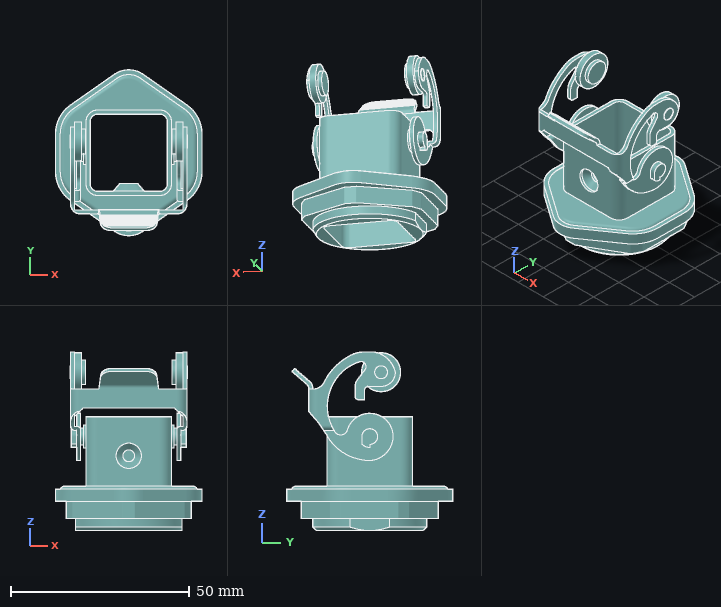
import cadquery as cq
import math


nut_bottom = 3.35
flange_bottom = 8.2
flange_top = 11.65
plateau_top = 12.5
tower_top = 32.0

foot_radius = 16.0
foot_width = 30.0
foot_chamfer = 1.0
nut_across_flats = 35.1
nut_across_clips = 38.5
nut_edge_radius = 0.4

flange_width = 41.2
flange_length = 46.62
flange_slope = 35.0
flange_apex_radius = 7.0
flange_side_radius = 10.0
plateau_inset = 1.25
plateau_round = 1.4

tower_width = 24.0
tower_corner_radius = 3.3
wall = 1.2
bore_width = tower_width - 2 * wall
bore_corner_radius = tower_corner_radius - wall

hole_z = 21.0
countersink_radius = 3.55
countersink_rim_depth = 0.8
hole_radius = 1.65
cone_boss_root_radius = 4.42
cone_boss_tip_radius = 2.5
cone_boss_height = 2.23

sheet = 1.15
lever_half_width = 16.35
joggle = 1.7
joggle_z = 28.1
lever_front_y = -17.17
lever_corner_radius = 2.75
lever_plate_bottom = 34.4
lever_plate_top = 39.8
lever_notch_half_width = 12.8
arm_top = 50.16
crank_y = -9.4
crank_round = 1.3
lower_plate_round = 1.0
plate_split_z = 34.0
lower_outer_x = lever_half_width - joggle
lower_inner_x = lower_outer_x - sheet
strap_inner_x = lever_half_width - sheet

pivot = (0.0, 26.4)
pivot_disc_radius = 6.55
eye = (3.18, 44.45)
eye_radius = 4.0

pivot_collar_radius = 3.27
pivot_collar_x = 12.7
pivot_neck_radius = 2.4
pin_radius = 2.2
pin_key_radius = 3.05
pin_end_x = 16.2

roller_radius = 5.5
roller_inner_x = 13.25
hub_radius = 3.48
hub_inner_x = 12.1
rivet_radius = 1.8
rivet_end_x = 16.5

tab_root_half_width = 8.45
tab_tip_half_width = 7.6
tab_thickness = 1.2
tab_slope = 41.0
tab_bend_radius = 1.3
tab_bend_z = 40.0
tab_length = 5.6
tab_corner_radius = 3.0
groove_count = 5
groove_pitch = 0.9
first_groove = 1.1
groove_width = 0.4
groove_depth = 0.12

overlap = 0.2


def box(x0, x1, y0, y1, z0, z1):
    return cq.Workplane("XY").box(x1 - x0, y1 - y0, z1 - z0, centered=False).translate((x0, y0, z0))


def x_cylinder(centre, radius, x0, x1):
    """Cylinder along X between x0 and x1, centred on a (Y, Z) point."""
    return cq.Workplane("YZ").workplane(offset=x0).center(*centre).circle(radius).extrude(x1 - x0)


def both_sides(body):
    return body.union(body.mirror("YZ"))


def foot():
    body = cq.Workplane("XY").circle(foot_radius).extrude(nut_bottom).faces("<Z").chamfer(foot_chamfer)
    return body.intersect(
        box(-foot_width / 2, foot_width / 2, -foot_radius, foot_radius, 0, nut_bottom)
    )


def hexagon(across_flats, z0, z1):
    across_corners = across_flats / math.cos(math.radians(30))
    return cq.Workplane("XY").workplane(offset=z0).polygon(6, across_corners).extrude(z1 - z0)


def nut():
    flats = hexagon(nut_across_flats, nut_bottom, flange_bottom).rotate((0, 0, 0), (0, 0, 1), 30)
    clipped = flats.intersect(hexagon(nut_across_clips, nut_bottom, flange_bottom))
    return clipped.edges("|Z").fillet(nut_edge_radius)


def flange_outline(inset, z0, z1):
    """Long rounded hexagon with vertical sides and a rounded apex at each Y end."""
    slope = math.radians(flange_slope)
    apex_radius = flange_apex_radius - inset
    side_radius = flange_side_radius - inset
    half_width = flange_width / 2 - inset
    apex_centre_y = flange_length / 2 - flange_apex_radius
    apex_y = apex_centre_y + apex_radius / math.cos(slope)
    corner_y = apex_y - half_width * math.tan(slope)
    body = (
        cq.Workplane("XY")
        .workplane(offset=z0)
        .polyline([
            (half_width, -corner_y),
            (half_width, corner_y),
            (0, apex_y),
            (-half_width, corner_y),
            (-half_width, -corner_y),
            (0, -apex_y),
        ])
        .close()
        .extrude(z1 - z0)
    )
    body = body.edges("|Z and (>Y or <Y)").fillet(apex_radius)
    return body.edges("|Z and (>X or <X)").fillet(side_radius)


def flange():
    base = flange_outline(0, flange_bottom, flange_top)
    plateau = flange_outline(plateau_inset, flange_bottom, plateau_top)
    return base.union(plateau.faces(">Z").edges().fillet(plateau_round))


def square_prism(width, corner_radius, z0, z1):
    prism = cq.Workplane("XY").workplane(offset=z0).rect(width, width).extrude(z1 - z0)
    return prism.edges("|Z").fillet(corner_radius)


def y_cone(y0, y1, radius0, radius1):
    """Cone along +Y at the hole height, from radius0 at y0 to radius1 at y1."""
    height = y1 - y0
    cone = cq.Solid.makeCone(radius0, radius1, height, cq.Vector(0, y0, hole_z), cq.Vector(0, 1, 0))
    return cq.Workplane(cone)


def y_cylinder(y0, y1, radius):
    """Cylinder along +Y at the hole height, between y0 and y1."""
    cylinder = cq.Solid.makeCylinder(radius, y1 - y0, cq.Vector(0, y0, hole_z), cq.Vector(0, 1, 0))
    return cq.Workplane(cylinder)


def housing():
    tower = square_prism(tower_width, tower_corner_radius, flange_top, tower_top)
    body = foot().union(nut()).union(flange()).union(tower)
    body = body.cut(square_prism(bore_width, bore_corner_radius, 0, tower_top))

    tower_face_y = -tower_width / 2
    bore_face_y = -bore_width / 2
    tip_y = bore_face_y + cone_boss_height
    body = body.union(y_cone(bore_face_y, tip_y, cone_boss_root_radius, cone_boss_tip_radius))

    cone_start_y = tower_face_y + countersink_rim_depth
    cone_end_y = cone_start_y + countersink_radius - hole_radius
    body = body.cut(y_cylinder(tower_face_y, cone_start_y, countersink_radius))
    body = body.cut(y_cone(cone_start_y, cone_end_y, countersink_radius, hole_radius))
    return body.cut(y_cylinder(tower_face_y, tip_y, hole_radius))


def lever_silhouette():
    """Side outline of the lever in (Y, Z), extruded across the whole width."""
    pivot_y, pivot_z = pivot
    eye_y, eye_z = eye
    notch_angle = math.radians(162)
    notch_end = (
        pivot_y + pivot_disc_radius * math.cos(notch_angle),
        pivot_z + pivot_disc_radius * math.sin(notch_angle),
    )
    eye_bottom_z = eye_z - eye_radius
    eye_diagonal = eye_radius * math.cos(math.pi / 4)
    return (
        cq.Workplane("YZ")
        .workplane(offset=-lever_half_width)
        .moveTo(eye_y + eye_radius, eye_z)
        .threePointArc((5.04, 48.2), (-1.5, arm_top))
        .threePointArc((-4.0, 49.8), (-6.2, 48.75))
        .threePointArc((-9.6, 46.15), (-12.55, 42.25))
        .threePointArc((-13.7, 40.55), (-15.3, lever_plate_top))
        .lineTo(lever_front_y, lever_plate_top)
        .lineTo(lever_front_y, 33.5)
        .lineTo(-14.43, 30.3)
        .lineTo(-12.1, 26.85)
        .threePointArc((-7.5, 21.9), (-1.64, 19.78))
        .threePointArc((4.3, 21.45), (pivot_y + pivot_disc_radius, pivot_z))
        .threePointArc((pivot_y, pivot_z + pivot_disc_radius), notch_end)
        .threePointArc((-8.0, 26.85), (-9.96, 28.04))
        .threePointArc((-11.87, 35.2), (-9.6, 42.3))
        .threePointArc((-6.2, 45.75), (-2.5, 47.45))
        .threePointArc((-1.15, 46.5), (-1.5, 44.95))
        .lineTo(-3.3, 42.6)
        .threePointArc((-3.95, 41.5), (-4.12, 40.4))
        .lineTo(-4.12, 37.65)
        .threePointArc((-3.84, 36.98), (-3.17, 36.7))
        .lineTo(-1.47, 36.7)
        .lineTo(-1.47, 39.4)
        .threePointArc((-1.2, 40.05), (-0.5, eye_bottom_z))
        .lineTo(eye_y, eye_bottom_z)
        .threePointArc((eye_y + eye_diagonal, eye_z - eye_diagonal), (eye_y + eye_radius, eye_z))
        .close()
        .extrude(2 * lever_half_width)
    )


def lever_sheet():
    """Folded sheet before it is cut to the side outline."""
    back_y = eye[0] + 2 * eye_radius
    inside_y = lever_front_y + sheet
    outer = box(-lever_half_width, lever_half_width, lever_front_y, back_y, joggle_z, arm_top)
    outer = outer.edges("|Z and <Y").fillet(lever_corner_radius)
    outer = outer.edges("|Y and <Z").fillet(crank_round)
    inner = box(-strap_inner_x, strap_inner_x, inside_y, back_y, joggle_z + sheet, arm_top)
    upper = outer.cut(inner)
    between = box(-lower_outer_x, lower_outer_x, inside_y, back_y, joggle_z, plate_split_z)
    behind = box(-lever_half_width, lever_half_width, crank_y, back_y, joggle_z, plate_split_z)
    upper = upper.cut(between).cut(behind)
    shoulder = strap_inner_x - lever_notch_half_width
    opening = (
        cq.Workplane("XZ")
        .polyline([
            (-strap_inner_x, joggle_z + sheet),
            (-strap_inner_x, lever_plate_bottom - shoulder),
            (-lever_notch_half_width, lever_plate_bottom),
            (lever_notch_half_width, lever_plate_bottom),
            (strap_inner_x, lever_plate_bottom - shoulder),
            (strap_inner_x, joggle_z + sheet),
        ])
        .close()
        .extrude(-lever_front_y)
    )
    upper = upper.cut(opening)
    low_z = pivot[1] - 2 * pivot_disc_radius
    lower = box(lower_inner_x, lower_outer_x, crank_y, back_y, low_z, plate_split_z)
    crank = box(lower_inner_x, lower_outer_x, lever_front_y, crank_y, low_z, joggle_z + sheet)
    lower = lower.union(crank.edges("|Y and >Z and <X").fillet(lower_plate_round))
    return upper.union(both_sides(lower))


def thumb_tab():
    turn = math.radians(90 - tab_slope)
    along = (-math.sin(turn), math.cos(turn))
    outer_radius = tab_bend_radius + tab_thickness
    centre = (lever_front_y - tab_bend_radius, tab_bend_z)

    def on_bend(radius, angle):
        return centre[0] + radius * math.cos(angle), centre[1] + radius * math.sin(angle)

    def beyond(point, distance):
        return point[0] + along[0] * distance, point[1] + along[1] * distance

    upper_start = on_bend(outer_radius, turn)
    lower_start = on_bend(tab_bend_radius, turn)
    body = (
        cq.Workplane("YZ")
        .workplane(offset=-tab_root_half_width)
        .moveTo(lever_front_y, lever_plate_top - overlap)
        .lineTo(*on_bend(tab_bend_radius, 0))
        .threePointArc(on_bend(tab_bend_radius, turn / 2), lower_start)
        .lineTo(*beyond(lower_start, tab_length))
        .lineTo(*beyond(upper_start, tab_length))
        .lineTo(*upper_start)
        .threePointArc(on_bend(outer_radius, turn / 2), on_bend(outer_radius, 0))
        .lineTo(lever_front_y + tab_thickness, lever_plate_top - overlap)
        .close()
        .extrude(2 * tab_root_half_width)
    )
    tip_z = beyond(upper_start, tab_length)[1]
    taper = (
        cq.Workplane("XZ")
        .polyline([
            (-tab_root_half_width, lever_plate_top - overlap),
            (tab_root_half_width, lever_plate_top - overlap),
            (tab_tip_half_width, tip_z),
            (-tab_tip_half_width, tip_z),
        ])
        .close()
        .extrude(2 * flange_length, both=True)
    )
    body = body.intersect(taper)
    tip_direction = cq.Vector(0, *along)
    tip_face = body.faces(cq.selectors.DirectionMinMaxSelector(tip_direction))
    body = tip_face.edges("not |X").fillet(tab_corner_radius)
    groove = cq.Workplane("XY").box(2 * tab_root_half_width, groove_width, 2 * groove_depth)
    groove = groove.rotate((0, 0, 0), (1, 0, 0), -tab_slope)
    for index in range(groove_count):
        y, z = beyond(upper_start, first_groove + groove_pitch * index)
        body = body.cut(groove.translate((0, y, z)))
    return body


def pivot_pin():
    start_x = tower_width / 2 - overlap
    collar = x_cylinder(pivot, pivot_collar_radius, start_x, pivot_collar_x)
    neck = x_cylinder(pivot, pivot_neck_radius, start_x, lower_outer_x)
    pin = x_cylinder(pivot, pin_radius, start_x, pin_end_x)
    key = x_cylinder(pivot, pin_key_radius, lower_inner_x, pin_end_x).intersect(
        box(0, pin_end_x, pivot[0] - pin_radius, pivot[0], pivot[1] - pin_key_radius, pivot[1])
    )
    return collar.union(neck).union(pin).union(key)


def roller():
    disc = x_cylinder(eye, roller_radius, roller_inner_x, strap_inner_x)
    hub = x_cylinder(eye, hub_radius, hub_inner_x, roller_inner_x)
    rivet = x_cylinder(eye, rivet_radius, roller_inner_x, rivet_end_x)
    return disc.union(hub).union(rivet)


lever = lever_sheet().intersect(lever_silhouette()).union(thumb_tab())
lever = lever.union(both_sides(roller())).union(both_sides(pivot_pin()))
result = housing().union(lever)